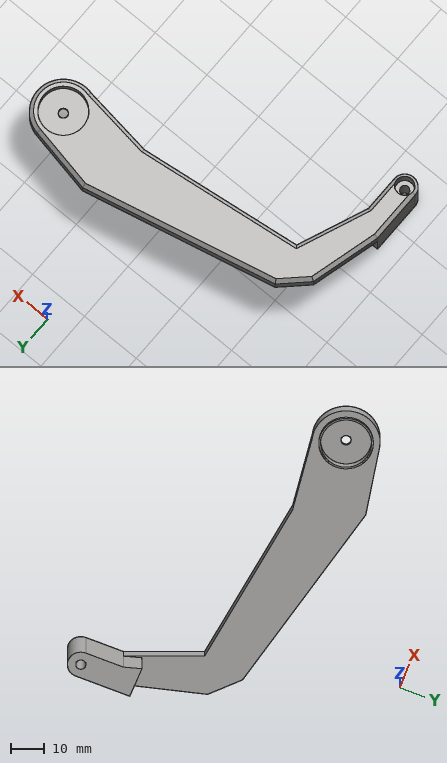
import cadquery as cq
import math

total_height = 13.5
plate_thickness = 5.0
plate_bottom = total_height - plate_thickness

bevel_size = 1.3

arm_length = 106.1
hub_radius = 10.1
hub_x = arm_length - hub_radius
hub_y = 51.3
hub_upper_joint_x = 97.8
hub_lower_joint_x = 93.4

seat_radius = 7.5
seat_depth = 2.5
disc_radius = 8.1
disc_height = 1.0
bolt_hole_radius = 1.5

leg_width = 8.0
tip_radius = leg_width / 2
tip_x = leg_width / 2
tip_y = tip_radius

counterbore_radius = 3.0
counterbore_depth = plate_thickness

leg_inner_corner = (leg_width, 15.9)
elbow_inner_corner = (17.0, 38.2)
belly_corner = (70.2, 44.8)
back_corner = (76.7, 65.5)
elbow_upper_corner = (14.1, 51.5)
elbow_lower_corner = (5.9, 43.6)
leg_outer_corner = (0, 21.2)

post_length = leg_outer_corner[1]
post_end_width = 9.5


def hub_half_height(x):
    """Distance from the hub centre line to its rim at a given x."""
    return math.sqrt(hub_radius**2 - (x - hub_x) ** 2)


def leg_outline(bottom):
    """Rounded tip and inner side of the leg, left open at its inner corner."""
    return (
        cq.Workplane("XY")
        .workplane(offset=bottom)
        .moveTo(0, tip_y)
        .threePointArc((tip_x, tip_y - tip_radius), (leg_width, tip_y))
        .lineTo(*leg_inner_corner)
    )


def make_plate():
    """Whole arm as a flat plate with a bevelled top rim."""
    upper_joint = (hub_upper_joint_x, hub_y + hub_half_height(hub_upper_joint_x))
    lower_joint = (hub_lower_joint_x, hub_y - hub_half_height(hub_lower_joint_x))
    return (
        leg_outline(plate_bottom)
        .lineTo(*elbow_inner_corner)
        .lineTo(*belly_corner)
        .lineTo(*lower_joint)
        .threePointArc((arm_length, hub_y), upper_joint)
        .lineTo(*back_corner)
        .lineTo(*elbow_upper_corner)
        .lineTo(*elbow_lower_corner)
        .lineTo(*leg_outer_corner)
        .close()
        .extrude(plate_thickness)
        .faces(">Z")
        .edges()
        .chamfer(bevel_size)
    )


def make_post():
    """Leg outline carried down to the foot, with a flat end across the leg."""
    return (
        leg_outline(0)
        .lineTo(post_end_width, post_length)
        .lineTo(*leg_outer_corner)
        .close()
        .extrude(plate_bottom)
    )


def cylinder(x, y, radius, bottom, top):
    """Upright cylinder between two levels."""
    base = cq.Workplane("XY").workplane(offset=bottom)
    return base.center(x, y).circle(radius).extrude(top - bottom)


disc_bottom = plate_bottom - disc_height
disc = cylinder(hub_x, hub_y, disc_radius, disc_bottom, plate_bottom)

result = make_plate().union(make_post()).union(disc)

result = result.cut(cylinder(hub_x, hub_y, seat_radius, total_height - seat_depth, total_height))
result = result.cut(cylinder(hub_x, hub_y, seat_radius, disc_bottom, disc_bottom + seat_depth))
result = result.cut(cylinder(hub_x, hub_y, bolt_hole_radius, disc_bottom, total_height))

counterbore_floor = total_height - counterbore_depth
result = result.cut(cylinder(tip_x, tip_y, counterbore_radius, counterbore_floor, total_height))
result = result.cut(cylinder(tip_x, tip_y, bolt_hole_radius, 0, total_height))